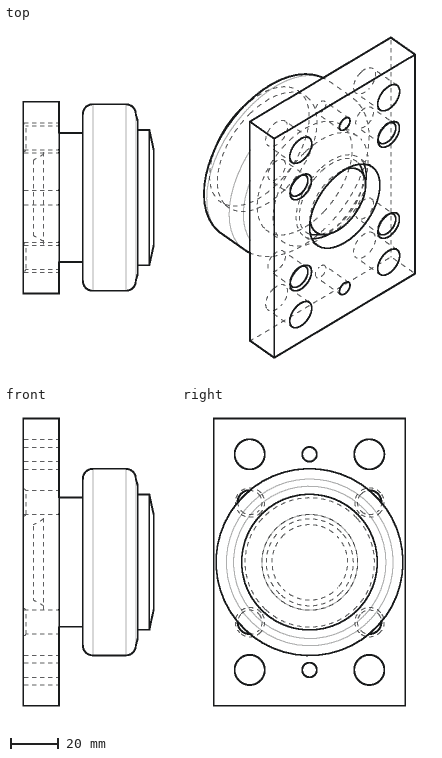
import cadquery as cq

plate_thickness = 15.0
plate_width = 80.0
plate_height = 120.0

total_length = 54.5
hub_diameter = 54.0
roller_start = 24.8
roller_end = 47.9
roller_diameter = 78.0
rim_radius = 4.2
roller_taper_length = 0.8
roller_face_diameter = 63.6
cap_diameter = 56.6
cap_face_diameter = 40.0
cap_bevel_length = 1.8

recess_diameter = 40.0
recess_depth = 8.4
shaft_base_diameter = 36.4
shaft_face_diameter = 31.5
shaft_end_height = 4.2

hole_offset_y = 25.0
outer_row_z = 45.0
inner_row_z = hole_offset_y
bolt_hole_diameter = 12.5
screw_hole_diameter = 10.1
screw_hole_chamfer = 1.1
pin_hole_diameter = 6.0


def make_plate():
    """Rectangular plate occupying X from 0 to its thickness."""
    plate = cq.Workplane("XY").box(plate_thickness, plate_width, plate_height)
    return plate.translate((plate_thickness / 2, 0, 0))


def cylinder(x_start, x_end, diameter):
    """Cylinder along the X axis."""
    return cq.Workplane("YZ", origin=(x_start, 0, 0)).circle(diameter / 2).extrude(x_end - x_start)


def frustum(x_start, x_end, start_diameter, end_diameter):
    """Truncated cone along the X axis."""
    profile = [
        (x_start, 0),
        (x_start, start_diameter / 2),
        (x_end, end_diameter / 2),
        (x_end, 0),
    ]
    return cq.Workplane("XY").polyline(profile).close().revolve(360, (0, 0, 0), (1, 0, 0))


def make_roller():
    """Roller ring with rounded rims and a slightly conical outer face."""
    taper_start = roller_end - roller_taper_length
    roller = cylinder(roller_start, taper_start, roller_diameter)
    roller = roller.faces("<X or >X").edges().fillet(rim_radius)
    taper_diameter = roller_diameter - 2 * rim_radius
    return roller.union(frustum(taper_start, roller_end, taper_diameter, roller_face_diameter))


def make_cap():
    """End cap with a shallow conical bevel."""
    bevel_start = total_length - cap_bevel_length
    cap = cylinder(roller_end, bevel_start, cap_diameter)
    return cap.union(frustum(bevel_start, total_length, cap_diameter, cap_face_diameter))


def cut_holes(body, points, diameter):
    """Cut holes straight through the plate."""
    for y, z in points:
        body = body.cut(cylinder(0, plate_thickness, diameter).translate((0, y, z)))
    return body


def four_points(y, z):
    """Four points mirrored about both plate centre lines."""
    return [(side * y, level * z) for side in (-1, 1) for level in (-1, 1)]


screw_points = four_points(hole_offset_y, inner_row_z)
plate = make_plate()
plate = cut_holes(plate, four_points(hole_offset_y, outer_row_z), bolt_hole_diameter)
plate = cut_holes(plate, [(0, -outer_row_z), (0, outer_row_z)], pin_hole_diameter)
plate = cut_holes(plate, screw_points, screw_hole_diameter)

countersink = frustum(
    0, screw_hole_chamfer, screw_hole_diameter + 2 * screw_hole_chamfer, screw_hole_diameter
)
for y, z in screw_points:
    plate = plate.cut(countersink.translate((0, y, z)))

hub = cylinder(plate_thickness, roller_start, hub_diameter)
body = plate.union(hub).union(make_roller()).union(make_cap())
body = body.cut(cylinder(0, recess_depth, recess_diameter))
face_start = recess_depth - shaft_end_height
shaft_end = frustum(face_start, recess_depth, shaft_face_diameter, shaft_base_diameter)
result = body.union(shaft_end)